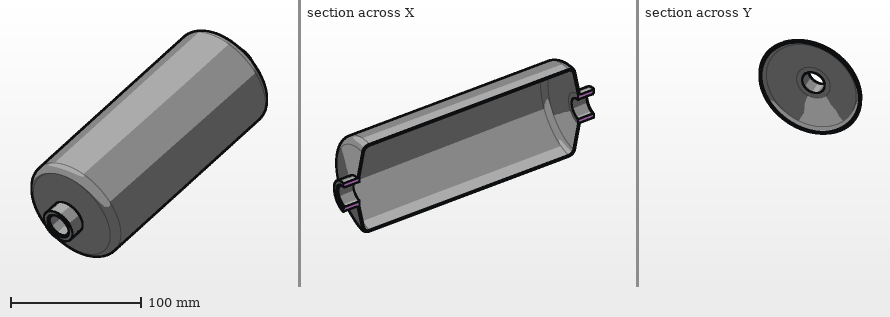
import cadquery as cq
import math

total_length = 225.0
shell_diameter = 86.0
cavity_diameter = 82.0
shoulder_length = 189.5
knuckle_radius = 6.5
nozzle_diameter = 28.0
nozzle_length = 12.5
bore_diameter = 18.63
bore_mouth_diameter = 20.955

wall = (shell_diameter - cavity_diameter) / 2
half_length = total_length / 2
cone_tip_y = half_length - nozzle_length
cone_drop = cone_tip_y - shoulder_length / 2
cone_run = (shell_diameter - nozzle_diameter) / 2
cone_angle = math.atan2(cone_drop, cone_run)
chamfer_depth = (bore_mouth_diameter - bore_diameter) / 2


def mirrored(point):
    """Profile point reflected to the other end of the vessel."""
    x, y = point
    return x, -y


def domed_body(inset):
    """Cylinder with rounded conical heads, every surface moved inward by the inset."""
    radius = shell_diameter / 2 - inset
    knuckle = knuckle_radius - inset
    tip_radius = nozzle_diameter / 2
    tip_y = cone_tip_y - inset / math.cos(cone_angle)
    corner_y = tip_y - (radius - tip_radius) * math.tan(cone_angle)

    cone_normal = math.pi / 2 - cone_angle
    knuckle_x = radius - knuckle
    knuckle_y = corner_y - knuckle * math.tan(cone_normal / 2)

    def on_knuckle(angle):
        return knuckle_x + knuckle * math.cos(angle), knuckle_y + knuckle * math.sin(angle)

    arc_middle = on_knuckle(cone_normal / 2)
    arc_end = on_knuckle(cone_normal)
    profile = (
        cq.Workplane("XY")
        .moveTo(0, -tip_y)
        .lineTo(tip_radius, -tip_y)
        .lineTo(*mirrored(arc_end))
        .threePointArc(mirrored(arc_middle), (radius, -knuckle_y))
        .lineTo(radius, knuckle_y)
        .threePointArc(arc_middle, arc_end)
        .lineTo(tip_radius, tip_y)
        .lineTo(0, tip_y)
        .close()
    )
    return profile.revolve(axisStart=(0, 0, 0), axisEnd=(0, 1, 0))


def y_cylinder(diameter, length):
    """Cylinder along Y, centred on the origin."""
    return cq.Workplane("XZ").circle(diameter / 2).extrude(length / 2, both=True)


def mouth_chamfer(side):
    """45-degree cone cutter that opens the bore at one nozzle end."""
    cutter = cq.Solid.makeCone(
        bore_mouth_diameter / 2,
        bore_diameter / 2,
        chamfer_depth,
        pnt=cq.Vector(0, side * half_length, 0),
        dir=cq.Vector(0, -side, 0),
    )
    return cq.Workplane(cutter)


nozzles = y_cylinder(nozzle_diameter, total_length)
vessel = domed_body(0).union(nozzles)

vessel = vessel.cut(domed_body(wall))
vessel = vessel.cut(y_cylinder(bore_diameter, total_length))
for side in (-1, 1):
    vessel = vessel.cut(mouth_chamfer(side))

result = cq.Workplane(vessel.solids().val())